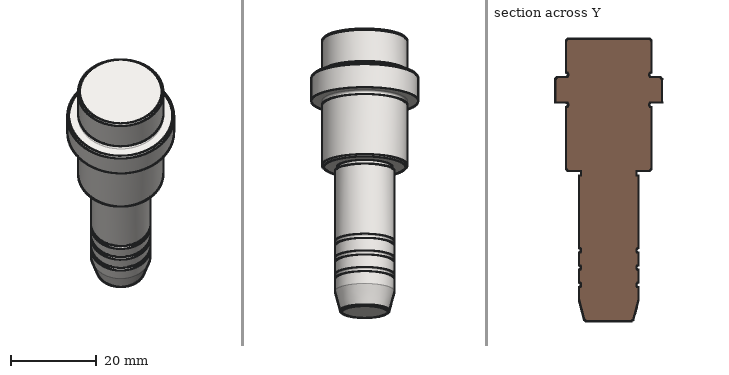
import cadquery as cq

body_diameter = 20.0
flange_diameter = 25.0
stem_diameter = 14.0
neck_diameter = 13.0
tip_diameter = 11.35

total_height = 66.0
taper_height = 5.0
neck_bottom = 34.05
body_bottom = 35.05
flange_bottom = 51.0
flange_top = 57.0

edge_chamfer = 0.45
tip_chamfer = 0.3
groove_radius = 0.495

first_groove_height = 8.5
groove_pitch = 4.0
stem_groove_count = 3


def cylinder(diameter, bottom, top):
    return cq.Workplane("XY").workplane(offset=bottom).circle(diameter / 2).extrude(top - bottom)


def round_groove(diameter, height):
    """Ring with a round section, centred on a cylinder's surface."""
    return (
        cq.Workplane("XZ")
        .center(diameter / 2, height)
        .circle(groove_radius)
        .revolve(360, (-diameter / 2, 0), (-diameter / 2, 1))
    )


tip = (
    cq.Workplane("XY")
    .circle(tip_diameter / 2)
    .workplane(offset=taper_height)
    .circle(stem_diameter / 2)
    .loft(ruled=True)
    .faces("<Z")
    .chamfer(tip_chamfer)
)

stem = cylinder(stem_diameter, taper_height, neck_bottom)
neck = cylinder(neck_diameter, neck_bottom, body_bottom)
for index in range(stem_groove_count):
    stem = stem.cut(round_groove(stem_diameter, first_groove_height + index * groove_pitch))

body = cylinder(body_diameter, body_bottom, total_height).faces("<Z or >Z").chamfer(edge_chamfer)
for groove_height in (flange_bottom - groove_radius, flange_top + groove_radius):
    body = body.cut(round_groove(body_diameter, groove_height))

flange = cylinder(flange_diameter, flange_bottom, flange_top).faces(">Z").chamfer(edge_chamfer)

result = tip.union(stem).union(neck).union(body).union(flange)